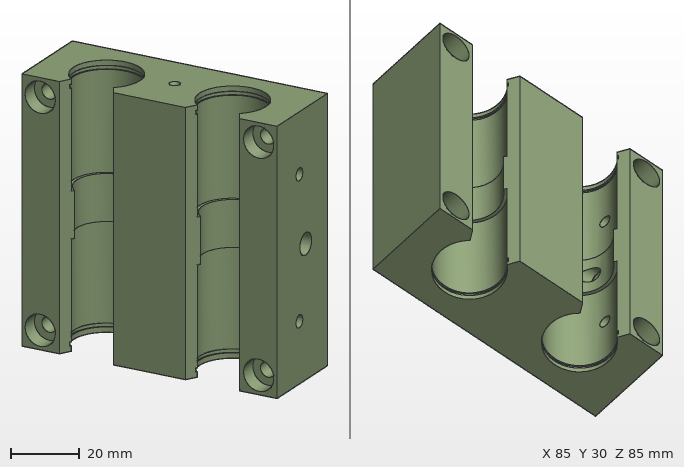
import cadquery as cq
import math

WIDTH = 85.0
DEPTH = 30.0
HEIGHT = 85.0
FRONT = -DEPTH / 2

BORE_SPACING = 42.0
BORE_Y = FRONT + 12.0
BORE_DIAMETER = 22.0
LAND_DIAMETER = 20.0
LAND_LENGTH = 15.0
GROOVE_DIAMETER = 22.95
GROOVE_OFFSET = 1.7
GROOVE_WIDTH = 1.2

MOUTH_WIDTH = 18.0
MOUTH_HALF_ANGLE = 30.0

BOLT_SPACING = 72.8
BOLT_DIAMETER = 5.0
HEAD_DIAMETER = 10.0
HEAD_DEPTH = 5.5

TOP_MOUTH_DIAMETER = 3.3
TOP_PILOT_DIAMETER = 1.9
TOP_TAPER_DEPTH = 1.7
TOP_HOLE_DEPTH = 6.8
DRILL_HALF_ANGLE = 59.0

DEPTH_TO_BORE_AXIS = (WIDTH - BORE_SPACING) / 2
SMALL_CROSS_DIAMETER = 4.0
SMALL_CROSS_Y = BORE_Y + 1.3
SMALL_CROSS_SPACING = 45.9
LARGE_CROSS_DIAMETER = 5.95
LARGE_CROSS_Y = BORE_Y + 5.0

PORT_DIAMETER = 7.0
PORT_DEPTH = 10.2


def bore_cylinder(x, diameter, z_bottom, length):
    """Cylinder along Z on a bore axis."""
    return cq.Workplane("XY", origin=(x, BORE_Y, z_bottom)).circle(diameter / 2).extrude(length)


def bore_cut(x):
    """Stepped bore with retaining-ring grooves and a flared mouth."""
    cut = bore_cylinder(x, LAND_DIAMETER, -HEIGHT / 2, HEIGHT)
    seat_length = (HEIGHT - LAND_LENGTH) / 2
    for seat_bottom in (-HEIGHT / 2, LAND_LENGTH / 2):
        cut = cut.union(bore_cylinder(x, BORE_DIAMETER, seat_bottom, seat_length))
    lower_groove = -HEIGHT / 2 + GROOVE_OFFSET
    upper_groove = HEIGHT / 2 - GROOVE_OFFSET - GROOVE_WIDTH
    for groove_bottom in (lower_groove, upper_groove):
        cut = cut.union(bore_cylinder(x, GROOVE_DIAMETER, groove_bottom, GROOVE_WIDTH))
    inner_half = MOUTH_WIDTH / 2 - (BORE_Y - FRONT) * math.tan(math.radians(MOUTH_HALF_ANGLE))
    mouth = (
        cq.Workplane("XY", origin=(x, 0, -HEIGHT / 2))
        .polyline([
            (-MOUTH_WIDTH / 2, FRONT),
            (MOUTH_WIDTH / 2, FRONT),
            (inner_half, BORE_Y),
            (-inner_half, BORE_Y),
        ])
        .close()
        .extrude(HEIGHT)
    )
    return cut.union(mouth)


def top_hole():
    """Blind pilot hole with a tapered mouth and a conical drill tip, along the Z axis."""
    mouth_radius = TOP_MOUTH_DIAMETER / 2
    radius = TOP_PILOT_DIAMETER / 2
    shoulder_z = HEIGHT / 2 - TOP_HOLE_DEPTH
    tip_z = shoulder_z - radius / math.tan(math.radians(DRILL_HALF_ANGLE))
    return (
        cq.Workplane("XZ")
        .polyline([
            (0, HEIGHT / 2),
            (mouth_radius, HEIGHT / 2),
            (radius, HEIGHT / 2 - TOP_TAPER_DEPTH),
            (radius, shoulder_z),
            (0, tip_z),
        ])
        .close()
        .revolve(360, (0, 0, 0), (0, 1, 0))
    )


def cross_hole(diameter, y, z, depth):
    """Hole along X, sunk to the given depth from the +X face."""
    return cq.Workplane("YZ", origin=(WIDTH / 2 - depth, y, z)).circle(diameter / 2).extrude(depth)


result = cq.Workplane("XY").box(WIDTH, DEPTH, HEIGHT)

for bore_x in (-BORE_SPACING / 2, BORE_SPACING / 2):
    result = result.cut(bore_cut(bore_x))

result = (
    result.faces("<Y").workplane(origin=(0, FRONT, 0))
    .rarray(BOLT_SPACING, BOLT_SPACING, 2, 2)
    .cboreHole(BOLT_DIAMETER, HEAD_DIAMETER, HEAD_DEPTH)
)

result = result.cut(top_hole())

for hole_z in (-SMALL_CROSS_SPACING / 2, SMALL_CROSS_SPACING / 2):
    result = result.cut(cross_hole(SMALL_CROSS_DIAMETER, SMALL_CROSS_Y, hole_z, DEPTH_TO_BORE_AXIS))
result = result.cut(cross_hole(LARGE_CROSS_DIAMETER, LARGE_CROSS_Y, 0, DEPTH_TO_BORE_AXIS))
result = result.cut(cross_hole(PORT_DIAMETER, LARGE_CROSS_Y, 0, PORT_DEPTH))